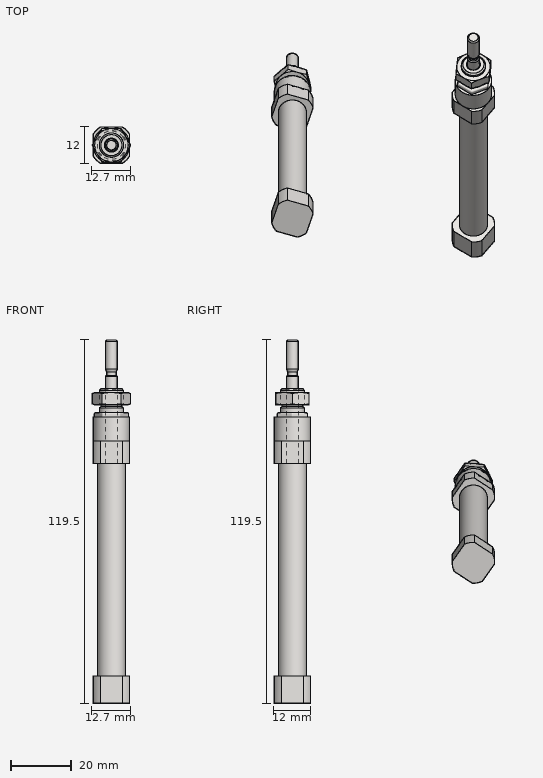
import cadquery as cq
import math

total_length = 119.5
rear_head_length = 9.0
front_flats_bottom = 78.8
front_flats_top = 86.2
front_head_top = 94.2
collar_height = 1.4
thread_neck_bottom = 97.1
nose_top = 103.5

head_width = 12.0
head_corner_diameter = 14.0
tube_diameter = 9.3

collar_across_flats = 10.0
collar_corner_round = 0.55
collar_edge_round = 0.5
nose_diameter = 8.0
thread_root_diameter = 6.92
thread_depth = (nose_diameter - thread_root_diameter) / 2
bore_mouth_diameter = 4.6

nut_across_flats = 11.0
nut_bottom = 98.2
nut_height = 4.0
nut_chamfer_angle = 20.0

rod_diameter = 4.0
rod_tip_chamfer = 0.45
rod_bottom = front_flats_bottom
undercut_diameter = 3.2
undercut_bottom = 107.5
undercut_top = 110.0
undercut_upper_taper = 1.1

collar_top = front_head_top + collar_height


def cylinder(diameter, bottom, top):
    """Upright cylinder on the Z axis between two levels."""
    return cq.Workplane("XY").workplane(offset=bottom).circle(diameter / 2).extrude(top - bottom)


def revolve_profile(points):
    """Revolve a closed (radius, height) outline about the Z axis."""
    return cq.Workplane("XZ").polyline(points).close().revolve(360, (0, 0, 0), (0, 1, 0))


def hexagon(across_flats, bottom, height):
    """Hexagonal prism with two corners on the X axis."""
    across_corners = across_flats / math.cos(math.pi / 6)
    return cq.Workplane("XY").workplane(offset=bottom).polygon(6, across_corners).extrude(height)


def square_head(bottom, top):
    """Square block whose corners are turned to a round."""
    block = cq.Workplane("XY").workplane(offset=bottom).rect(head_width, head_width).extrude(top - bottom)
    return block.intersect(cylinder(head_corner_diameter, bottom, top))


def make_collar():
    """Thin hexagon with rounded corners and its upper edges rounded over."""
    collar = hexagon(collar_across_flats, front_head_top, collar_height)
    collar = collar.edges("|Z").fillet(collar_corner_round)
    return collar.faces(">Z").edges().fillet(collar_edge_round)


def make_nose():
    """Threaded nose with a relief neck below the nut and a chamfered tip."""
    nose_radius = nose_diameter / 2
    root_radius = thread_root_diameter / 2
    return revolve_profile([
        (0, collar_top),
        (nose_radius, collar_top),
        (nose_radius, thread_neck_bottom),
        (root_radius, thread_neck_bottom + thread_depth),
        (root_radius, nut_bottom),
        (nose_radius, nut_bottom),
        (nose_radius, nose_top - thread_depth),
        (root_radius, nose_top),
        (0, nose_top),
    ])


def make_rod_bore():
    """Blind rod bore with a 45 degree countersunk mouth."""
    bore_radius = rod_diameter / 2
    mouth_radius = bore_mouth_diameter / 2
    return revolve_profile([
        (0, rod_bottom),
        (bore_radius, rod_bottom),
        (bore_radius, nose_top - (mouth_radius - bore_radius)),
        (mouth_radius, nose_top),
        (0, nose_top),
    ])


def make_housing():
    """Rear head, tube, front head, collar and threaded nose in one piece."""
    housing = square_head(0, rear_head_length)
    housing = housing.union(cylinder(tube_diameter, rear_head_length, front_flats_bottom))
    housing = housing.union(square_head(front_flats_bottom, front_flats_top))
    housing = housing.union(cylinder(head_width, front_flats_top, front_head_top))
    housing = housing.union(make_collar())
    housing = housing.union(make_nose())
    return housing.cut(make_rod_bore())


def make_nut():
    """Hexagon nut with both faces coned off at the corners."""
    corner_radius = nut_across_flats / math.cos(math.pi / 6) / 2
    face_radius = nut_across_flats / 2
    cone_height = (corner_radius - face_radius) * math.tan(math.radians(nut_chamfer_angle))
    nut_top = nut_bottom + nut_height
    envelope = revolve_profile([
        (0, nut_bottom),
        (face_radius, nut_bottom),
        (corner_radius, nut_bottom + cone_height),
        (corner_radius, nut_top - cone_height),
        (face_radius, nut_top),
        (0, nut_top),
    ])
    nut = hexagon(nut_across_flats, nut_bottom, nut_height).intersect(envelope)
    return nut.cut(cylinder(nose_diameter, nut_bottom, nut_top))


def make_rod():
    """Piston rod with a chamfered tip and an undercut behind the rod thread."""
    rod_radius = rod_diameter / 2
    undercut_radius = undercut_diameter / 2
    shoulder_chamfer = rod_radius - undercut_radius
    return revolve_profile([
        (0, rod_bottom),
        (rod_radius, rod_bottom),
        (rod_radius, undercut_bottom),
        (undercut_radius, undercut_bottom + shoulder_chamfer),
        (undercut_radius, undercut_top - undercut_upper_taper),
        (rod_radius, undercut_top),
        (rod_radius, total_length - rod_tip_chamfer),
        (rod_radius - rod_tip_chamfer, total_length),
        (0, total_length),
    ])


housing = make_housing()
nut = make_nut()
rod = make_rod()

result = cq.Compound.makeCompound([housing.val(), nut.val(), rod.val()])